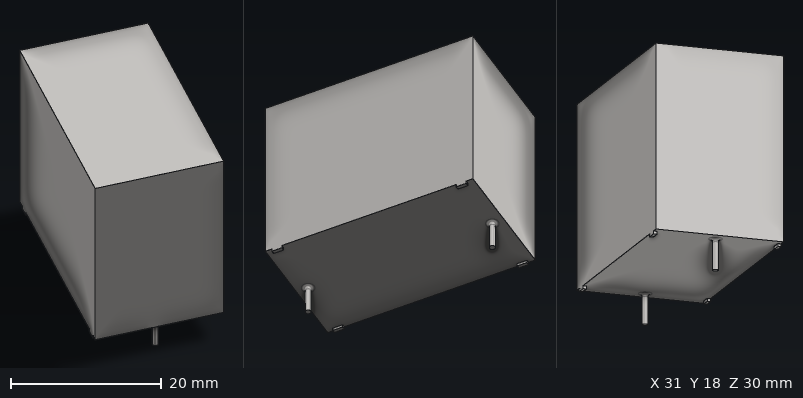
import cadquery as cq
import math

case_length = 31.0
case_depth = 18.0
overall_height = 30.0

pin_diameter = 0.8
pin_pitch = 27.5
pin_length = 4.3

root_fillet = 0.5

foot_length = 1.5
foot_depth = 0.5
foot_height = 0.4

case_height = overall_height - pin_length
pin_positions = (-pin_pitch / 2, pin_pitch / 2)


def make_case():
    return cq.Workplane("XY").box(case_length, case_depth, case_height, centered=(True, True, False))


def make_pin(x):
    """A round pin below the case whose root flares into the underside with a concave fillet."""
    pin_radius = pin_diameter / 2
    root_radius = pin_radius + root_fillet
    arc_inset = root_fillet * (1 - math.sqrt(0.5))
    half_profile = (
        cq.Workplane("XZ")
        .lineTo(root_radius, 0)
        .threePointArc((pin_radius + arc_inset, -arc_inset), (pin_radius, -root_fillet))
        .lineTo(pin_radius, -pin_length)
        .lineTo(0, -pin_length)
        .close()
    )
    return half_profile.revolve(360, (0, 0, 0), (0, 1, 0)).translate((x, 0, 0))


def make_foot(x, side):
    """A rectangular foot flush with the front (side = -1) or back (side = 1) face."""
    foot_y = side * (case_depth - foot_depth) / 2
    foot = cq.Workplane("XY").box(foot_length, foot_depth, foot_height)
    return foot.translate((x, foot_y, -foot_height / 2))


result = make_case()
for pin_x in pin_positions:
    result = result.union(make_pin(pin_x))
    for foot_side in (-1, 1):
        result = result.union(make_foot(pin_x, foot_side))